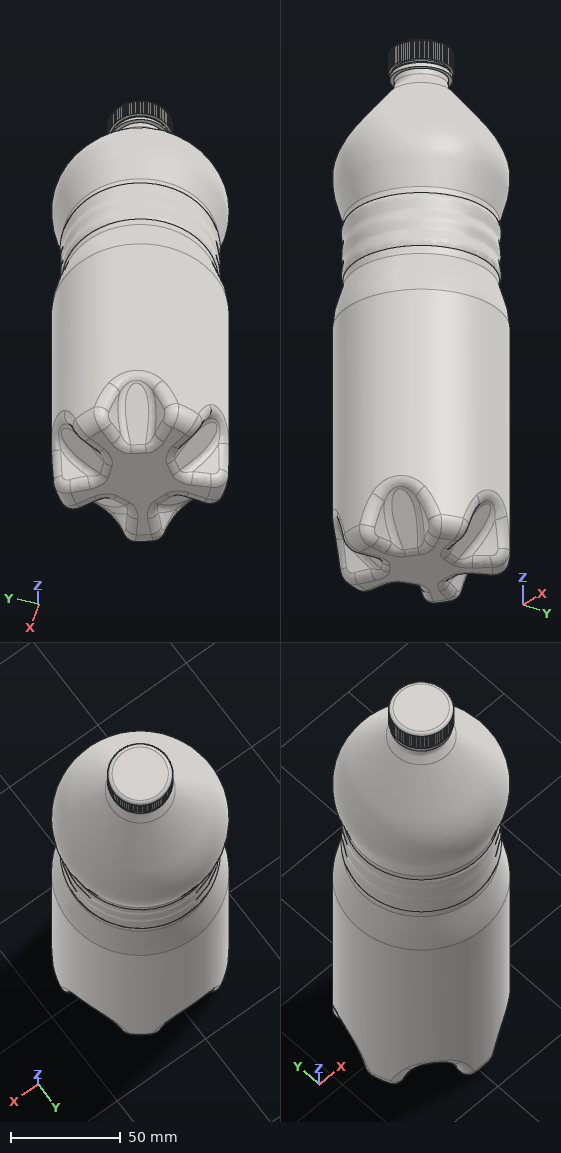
import cadquery as cq
import math

TOTAL_HEIGHT = 264.0
BODY_RADIUS = 40.5

WALL_TOP_Z = 122.5
LOWER_WAIST_Z = 143.2
GRIP_BOTTOM_Z = 147.3
GRIP_TOP_Z = 174.3
UPPER_WAIST_Z = 177.4
BULGE_Z = 200.0
SHOULDER_MIDDLE_Z = 221.5
SHOULDER_TOP_Z = 240.6
NECK_BOTTOM_Z = 246.8
FLANGE_BOTTOM_Z = 249.6
FLANGE_SHOULDER_Z = 251.6
FLANGE_TOP_Z = 252.6
CAP_BOTTOM_Z = 253.4
KNURL_TOP_Z = 262.7

WAIST_RADIUS = 35.7
SHOULDER_MIDDLE_RADIUS = 31.3
SHOULDER_TOP_RADIUS = 15.9
NECK_RADIUS = 12.5
FLANGE_RADIUS = 14.3
COLLAR_RADIUS = 13.5

WAIST_TAPER = (-0.25, 1)
WAIST_FLARE = (0.3, 1)
SHOULDER_TOP_SLOPE = (-0.8, 1)

GRIP_RING_COUNT = 3
GRIP_RING_HEIGHT = 0.8
GRIP_RING_MARGIN = 3.3

CAP_RADIUS = 15.0
CAP_TOP_RADIUS = 12.8
CAP_EDGE_RADIUS = 2.0
KNURL_COUNT = 90
KNURL_DEPTH = 0.3

FOOT_COUNT = 5
FIRST_GROOVE_ANGLE = 90.0
BASE_FILLET = 8.0
GROOVE_FILLET = 5.0
VALLEY_FILLET = 4.0
GROOVE_OUTER_DISTANCE = 45.0
GROOVE_OUTER_HEIGHT = 25.0
GROOVE_OUTER_HALF_WIDTH = 22.5
GROOVE_INNER_DISTANCE = 12.0
GROOVE_INNER_HEIGHT = 20.0
GROOVE_INNER_HALF_WIDTH = 4.0
GROOVE_LEG_LEAN = 0.25
CORE_BOTTOM_RADIUS = 16.5
CORE_SLOPE = 0.9
CLEARANCE = 5.0


def make_body():
    """Solid of revolution from the base up to the underside of the cap."""
    ring_pitch = (GRIP_TOP_Z - GRIP_BOTTOM_Z - 2 * GRIP_RING_MARGIN) / (GRIP_RING_COUNT - 1)
    profile = (
        cq.Workplane("XZ")
        .lineTo(BODY_RADIUS - BASE_FILLET, 0)
        .radiusArc((BODY_RADIUS, BASE_FILLET), -BASE_FILLET)
        .lineTo(BODY_RADIUS, WALL_TOP_Z)
        .spline(
            [(WAIST_RADIUS, LOWER_WAIST_Z)],
            tangents=[(0, 1), WAIST_TAPER],
            includeCurrent=True,
        )
        .lineTo(WAIST_RADIUS, GRIP_BOTTOM_Z)
    )
    wave = []
    for ring in range(GRIP_RING_COUNT):
        crest = GRIP_BOTTOM_Z + GRIP_RING_MARGIN + ring * ring_pitch
        wave.append((WAIST_RADIUS + GRIP_RING_HEIGHT, crest))
        if ring < GRIP_RING_COUNT - 1:
            wave.append((WAIST_RADIUS, crest + ring_pitch / 2))
    wave.append((WAIST_RADIUS, GRIP_TOP_Z))
    profile = profile.spline(wave, includeCurrent=True)
    profile = (
        profile.lineTo(WAIST_RADIUS, UPPER_WAIST_Z)
        .spline(
            [
                (BODY_RADIUS, BULGE_Z),
                (SHOULDER_MIDDLE_RADIUS, SHOULDER_MIDDLE_Z),
                (SHOULDER_TOP_RADIUS, SHOULDER_TOP_Z),
            ],
            tangents=[WAIST_FLARE, (0, 1), None, SHOULDER_TOP_SLOPE],
            includeCurrent=True,
        )
        .spline(
            [(NECK_RADIUS, NECK_BOTTOM_Z)],
            tangents=[SHOULDER_TOP_SLOPE, (0, 1)],
            includeCurrent=True,
        )
        .lineTo(NECK_RADIUS, FLANGE_BOTTOM_Z)
        .lineTo(FLANGE_RADIUS, FLANGE_BOTTOM_Z)
        .lineTo(FLANGE_RADIUS, FLANGE_SHOULDER_Z)
        .lineTo(COLLAR_RADIUS, FLANGE_TOP_Z)
        .lineTo(COLLAR_RADIUS, CAP_BOTTOM_Z)
        .lineTo(0, CAP_BOTTOM_Z)
        .close()
    )
    return profile.revolve(360, (0, 0, 0), (0, 1, 0))


def make_knurled_skirt():
    """Cap side wall with vertical V-shaped knurls."""
    points = []
    for step in range(2 * KNURL_COUNT):
        angle = math.pi * step / KNURL_COUNT
        radius = CAP_RADIUS - KNURL_DEPTH * (step % 2)
        points.append((radius * math.cos(angle), radius * math.sin(angle)))
    return (
        cq.Workplane("XY", origin=(0, 0, CAP_BOTTOM_Z))
        .polyline(points)
        .close()
        .extrude(KNURL_TOP_Z - CAP_BOTTOM_Z)
    )


def make_cap():
    """Screw cap: knurled skirt below a smooth crown with a rounded edge."""
    crown = (
        cq.Workplane("XZ", origin=(0, 0, KNURL_TOP_Z))
        .lineTo(CAP_RADIUS - KNURL_DEPTH, 0)
        .radiusArc((CAP_TOP_RADIUS, TOTAL_HEIGHT - KNURL_TOP_Z), -CAP_EDGE_RADIUS)
        .lineTo(0, TOTAL_HEIGHT - KNURL_TOP_Z)
        .close()
        .revolve(360, (0, 0, 0), (0, 1, 0))
    )
    return make_knurled_skirt().union(crown)


def groove_section(distance, half_width, height):
    """Arched wire standing at the given distance from the bottle axis."""
    return (
        cq.Workplane("YZ", origin=(distance, 0, 0))
        .moveTo(half_width, -CLEARANCE)
        .spline(
            [(0, height), (-half_width, -CLEARANCE)],
            tangents=[(-GROOVE_LEG_LEAN, 1), (-1, 0), (-GROOVE_LEG_LEAN, -1)],
            includeCurrent=True,
        )
        .close()
        .val()
    )


def make_groove():
    """Cutter along +X: an arch widening outwards, ending on the sloping core."""
    arch = cq.Solid.makeLoft(
        [
            groove_section(GROOVE_INNER_DISTANCE, GROOVE_INNER_HALF_WIDTH, GROOVE_INNER_HEIGHT),
            groove_section(GROOVE_OUTER_DISTANCE, GROOVE_OUTER_HALF_WIDTH, GROOVE_OUTER_HEIGHT),
        ],
        True,
    )
    top = GROOVE_OUTER_HEIGHT + CLEARANCE
    outside_core = (
        cq.Workplane("XZ")
        .moveTo(CORE_BOTTOM_RADIUS - CORE_SLOPE * CLEARANCE, -CLEARANCE)
        .lineTo(CORE_BOTTOM_RADIUS + CORE_SLOPE * top, top)
        .lineTo(GROOVE_OUTER_DISTANCE + CLEARANCE, top)
        .lineTo(GROOVE_OUTER_DISTANCE + CLEARANCE, -CLEARANCE)
        .close()
        .extrude(BODY_RADIUS, both=True)
    )
    groove = outside_core.intersect(cq.Workplane(arch))
    return groove.faces("<X").edges(">Z").fillet(VALLEY_FILLET)


def cut_feet(body):
    """Cut the grooves between the feet and round their rims."""
    groove = make_groove()
    for index in range(FOOT_COUNT):
        angle = FIRST_GROOVE_ANGLE + index * 360 / FOOT_COUNT
        body = body.cut(groove.rotate((0, 0, 0), (0, 0, 1), angle))
    rims = body.faces("<Z").edges("not %CIRCLE")
    return rims.fillet(GROOVE_FILLET)


result = cut_feet(make_body()).union(make_cap())